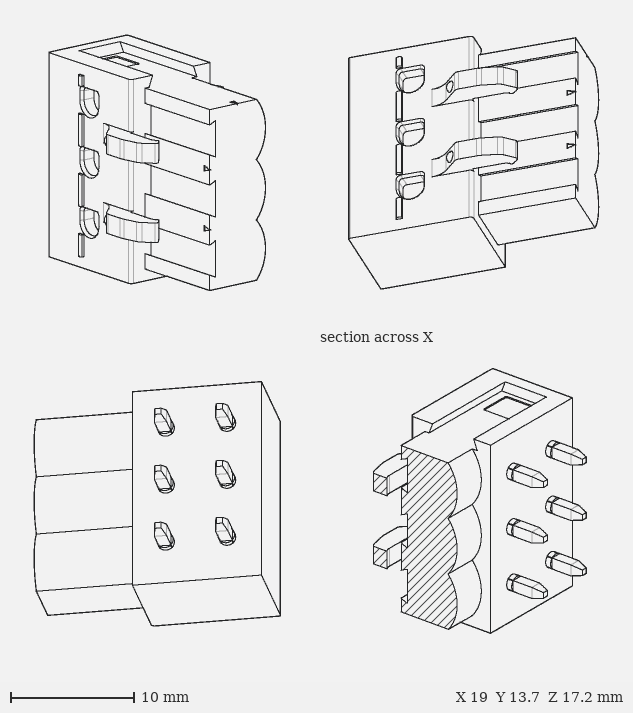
import cadquery as cq
import math

LENGTH = 19.0
POLES = 3
PITCH = 5.07
FIRST_POLE_Z = 3.57
POLE_Z = [FIRST_POLE_Z + PITCH * i for i in range(POLES)]

HOUSING_X = 10.68
HOUSING_Y = 8.3
HOUSING_Z = 17.23
LEFT_EDGE_RADIUS = 0.17
RIGHT_EDGE_RADIUS = 0.3

TONGUE_Z = 15.28
TONGUE_BOTTOM = 1.0
TONGUE_TOP = TONGUE_BOTTOM + TONGUE_Z
TONGUE_FRONT = 1.5
TONGUE_SHOULDER = 6.4
TONGUE_BACK = 7.35
GROOVE_DEPTH = 0.63
GROOVE_MOUTH = PITCH / 2
GROOVE_UNDERCUT = 0.27

POCKET_LEFT = 1.22
POCKET_FRONT = 2.28
POCKET_BACK = 6.55
POCKET_UNDERCUT = 0.36

RECESS_SIZE = 3.0
RECESS_X = 3.21
RECESS_Y = 4.28
RECESS_RADIUS = 0.15

MARK_LENGTH = 0.75
MARK_WIDTH = 0.45
MARK_Y = 4.43
SHALLOW_DEPTH = 0.11

WINDOW_X = 5.34
WINDOW_WIDTH = 2.45
WINDOW_RISE = 1.22
WINDOW_OFFSET_Z = 0.38
WINDOW_CORNER = 0.38
WINDOW_INSET = 0.15
WINDOW_TAPER_DEPTH = 0.32
WINDOW_DEPTH = 1.35

RIB_LEFT = 4.12
RIB_WIDTH = 0.53
RIB_RADIUS = 0.3
RIB_GAP = 2.4
RIB_GAP_OFFSET_Z = 0.5

FIRST_PIN_X = 2.81
PIN_X = (FIRST_PIN_X, FIRST_PIN_X + PITCH)
COLLAR_RADIUS = 0.68
COLLAR_HEIGHT = 0.51
PIN_SIDE = 1.0
PIN_STRAIGHT = 1.95
PIN_TIP_SIDE = 0.51
PIN_TIP_LENGTH = 1.0

LEVER_Z = (5.3, 11.99)
LEVER_WIDTH = 1.65
LEVER_HEIGHT = 1.92
LEVER_UNDERSIDE_Y = -0.11
LEVER_START_X = 7.18
LEVER_START_RADIUS = 2.01
LEVER_RAMP_ANGLE = 45
LEVER_KNEE_X = 10.09
LEVER_KNEE_RADIUS = 0.51
LEVER_TAPER_X = 11.65
LEVER_TAPER_RADIUS = 2.28
LEVER_TAPER_ANGLE = 11
LEVER_BEND_CENTER = (13.2, -0.78)
LEVER_BEND_RADIUS = 0.84
LEVER_TIP_ANGLE = 45
LEVER_NOSE_CENTER = (14.4, -0.45)
LEVER_NOSE_RADIUS = 0.25
LEVER_HOOK_CENTER = (14.0, -0.02)
LEVER_HOOK_RADIUS = 0.19
LEVER_HOOK_END_ANGLE = 155
LEVER_NECK_X = 13.3
LEVER_NECK_RADIUS = 0.91
LEVER_NECK_START_ANGLE = 300
LEVER_ROOT_RADIUS = 0.2

BUMP_RADIUS = 0.55
BUMP_HEIGHT = 0.28


def box(x0, x1, y0, y1, z0, z1):
    return cq.Workplane("XY").box(x1 - x0, y1 - y0, z1 - z0, centered=False).translate((x0, y0, z0))


def make_housing():
    block = box(0, HOUSING_X, 0, HOUSING_Y, 0, HOUSING_Z)
    block = block.edges("|Z and <X and <Y").fillet(LEFT_EDGE_RADIUS)
    return block.edges("|Z and >X and <Y").fillet(RIGHT_EDGE_RADIUS)


def make_pocket():
    profile = [
        (POCKET_FRONT, HOUSING_Z),
        (POCKET_BACK, HOUSING_Z),
        (POCKET_BACK + POCKET_UNDERCUT, TONGUE_TOP),
        (POCKET_FRONT - POCKET_UNDERCUT, TONGUE_TOP),
    ]
    length = HOUSING_X - POCKET_LEFT
    return cq.Workplane("YZ", origin=(POCKET_LEFT, 0, 0)).polyline(profile).close().extrude(length)


def make_recess():
    block = cq.Workplane("XY").box(RECESS_SIZE, RECESS_SIZE, 2 * SHALLOW_DEPTH)
    return block.edges("|Z").fillet(RECESS_RADIUS).translate((RECESS_X, RECESS_Y, TONGUE_TOP))


def make_tongue():
    outline = cq.Workplane("YZ", origin=(HOUSING_X, 0, 0))
    outline = outline.moveTo(TONGUE_SHOULDER, TONGUE_TOP)
    outline = outline.lineTo(TONGUE_FRONT, TONGUE_TOP)
    outline = outline.lineTo(TONGUE_FRONT, TONGUE_BOTTOM)
    outline = outline.lineTo(TONGUE_SHOULDER, TONGUE_BOTTOM)
    scallop = TONGUE_Z / POLES
    for i in range(POLES):
        start = TONGUE_BOTTOM + i * scallop
        outline = outline.threePointArc(
            (TONGUE_BACK, start + scallop / 2),
            (TONGUE_SHOULDER, start + scallop),
        )
    return outline.close().extrude(LENGTH - HOUSING_X)


def make_groove(z):
    floor = TONGUE_FRONT + GROOVE_DEPTH
    half_mouth = GROOVE_MOUTH / 2
    half_floor = half_mouth + GROOVE_UNDERCUT
    profile = [
        (TONGUE_FRONT, z - half_mouth),
        (floor, z - half_floor),
        (floor, z + half_floor),
        (TONGUE_FRONT, z + half_mouth),
    ]
    length = LENGTH - HOUSING_X
    return cq.Workplane("YZ", origin=(HOUSING_X, 0, 0)).polyline(profile).close().extrude(length)


def mark_outline(plane, origin):
    corners = [(0, 0), (-MARK_LENGTH, MARK_WIDTH / 2), (-MARK_LENGTH, -MARK_WIDTH / 2)]
    return cq.Workplane(plane, origin=origin).polyline(corners).close()


def make_top_mark():
    return mark_outline("XY", (LENGTH, MARK_Y, TONGUE_TOP)).extrude(-SHALLOW_DEPTH)


def make_front_mark(z):
    return mark_outline("XZ", (LENGTH, TONGUE_FRONT, z)).extrude(-SHALLOW_DEPTH)


def window_sketch(z, y, inset):
    radius = WINDOW_WIDTH / 2 - inset
    corner = WINDOW_CORNER - inset / 2
    rise = WINDOW_RISE - inset
    bevel = corner * (1 - math.sqrt(0.5))
    return (
        cq.Workplane("XZ", origin=(WINDOW_X, y, z))
        .moveTo(-radius, 0)
        .threePointArc((0, -radius), (radius, 0))
        .lineTo(radius, rise - corner)
        .threePointArc((radius - bevel, rise - bevel), (radius - corner, rise))
        .lineTo(corner - radius, rise)
        .threePointArc((bevel - radius, rise - bevel), (-radius, rise - corner))
        .close()
    )


def make_window(z):
    mouth = window_sketch(z, 0, 0)
    throat = window_sketch(z, WINDOW_TAPER_DEPTH, WINDOW_INSET)
    taper = cq.Workplane(obj=cq.Solid.makeLoft([mouth.wires().val(), throat.wires().val()], True))
    return taper.union(throat.extrude(-(WINDOW_DEPTH - WINDOW_TAPER_DEPTH)))


def make_rib():
    bar = cq.Workplane("XY", origin=(RIB_LEFT + RIB_RADIUS, 0, TONGUE_BOTTOM))
    bar = bar.circle(RIB_RADIUS).extrude(TONGUE_Z)
    right = RIB_LEFT + RIB_WIDTH
    rib = bar.intersect(box(RIB_LEFT, right, -RIB_RADIUS, RIB_RADIUS, TONGUE_BOTTOM, TONGUE_TOP))
    for z in POLE_Z:
        middle = z + RIB_GAP_OFFSET_Z
        gap_bottom = middle - RIB_GAP / 2
        gap_top = middle + RIB_GAP / 2
        rib = rib.cut(box(RIB_LEFT, right, -RIB_RADIUS, RIB_RADIUS, gap_bottom, gap_top))
    return rib


def make_pin(x, z):
    back = cq.Workplane("XZ", origin=(x, HOUSING_Y, z))
    collar = back.circle(COLLAR_RADIUS).extrude(-COLLAR_HEIGHT)
    straight_length = COLLAR_HEIGHT + PIN_STRAIGHT
    shaft = back.rect(PIN_SIDE, PIN_SIDE).extrude(-straight_length)
    tip = (
        back.workplane(offset=-straight_length)
        .rect(PIN_SIDE, PIN_SIDE)
        .workplane(offset=-PIN_TIP_LENGTH)
        .rect(PIN_TIP_SIDE, PIN_TIP_SIDE)
        .loft()
    )
    return collar.union(shaft).union(tip)


def point_on_circle(center, radius, angle):
    turn = math.radians(angle)
    return (center[0] + radius * math.cos(turn), center[1] + radius * math.sin(turn))


START_CENTER = (LEVER_START_X, -LEVER_START_RADIUS)
KNEE_CENTER = (LEVER_KNEE_X, LEVER_KNEE_RADIUS - LEVER_HEIGHT)
TAPER_CENTER = (LEVER_TAPER_X, LEVER_TAPER_RADIUS - LEVER_HEIGHT)
NECK_CENTER = (LEVER_NECK_X, LEVER_UNDERSIDE_Y + LEVER_NECK_RADIUS)
ROOT_CENTER = (HOUSING_X + LEVER_ROOT_RADIUS, LEVER_UNDERSIDE_Y + LEVER_ROOT_RADIUS)

LEVER_ARCS = [
    (START_CENTER, LEVER_START_RADIUS, 90, 90 - LEVER_RAMP_ANGLE),
    (KNEE_CENTER, LEVER_KNEE_RADIUS, 270 - LEVER_RAMP_ANGLE, 270),
    (TAPER_CENTER, LEVER_TAPER_RADIUS, 270, 270 + LEVER_TAPER_ANGLE),
    (LEVER_BEND_CENTER, LEVER_BEND_RADIUS, 270 + LEVER_TAPER_ANGLE, 270 + LEVER_TIP_ANGLE),
    (LEVER_NOSE_CENTER, LEVER_NOSE_RADIUS, LEVER_TIP_ANGLE - 90, LEVER_TIP_ANGLE),
    (LEVER_HOOK_CENTER, LEVER_HOOK_RADIUS, LEVER_TIP_ANGLE, LEVER_HOOK_END_ANGLE),
    (NECK_CENTER, LEVER_NECK_RADIUS, LEVER_NECK_START_ANGLE, 270),
    (ROOT_CENTER, LEVER_ROOT_RADIUS, 270, 180),
]


def make_lever(z):
    outline = cq.Workplane("XY", origin=(0, 0, z - LEVER_WIDTH / 2))
    outline = outline.moveTo(LEVER_START_X, RIGHT_EDGE_RADIUS)
    for center, radius, start, end in LEVER_ARCS:
        outline = outline.lineTo(*point_on_circle(center, radius, start))
        middle = point_on_circle(center, radius, (start + end) / 2)
        outline = outline.threePointArc(middle, point_on_circle(center, radius, end))
    outline = outline.lineTo(HOUSING_X, RIGHT_EDGE_RADIUS)
    return outline.close().extrude(LEVER_WIDTH)


def make_bump(z):
    ramp_start = point_on_circle(START_CENTER, LEVER_START_RADIUS, 90 - LEVER_RAMP_ANGLE)
    ramp_end = point_on_circle(KNEE_CENTER, LEVER_KNEE_RADIUS, 270 - LEVER_RAMP_ANGLE)
    ramp_middle = ((ramp_start[0] + ramp_end[0]) / 2, (ramp_start[1] + ramp_end[1]) / 2)
    x, y = point_on_circle(ramp_middle, BUMP_RADIUS - BUMP_HEIGHT, 90 - LEVER_RAMP_ANGLE)
    return cq.Workplane("XY").sphere(BUMP_RADIUS).translate((x, y, z))


result = make_housing().union(make_tongue()).cut(make_pocket()).cut(make_recess())
result = result.cut(make_top_mark()).union(make_rib())
for pole_z in POLE_Z:
    result = result.cut(make_groove(pole_z)).cut(make_window(pole_z + WINDOW_OFFSET_Z))
    for pin_x in PIN_X:
        result = result.union(make_pin(pin_x, pole_z))
for pole_z in POLE_Z[:-1]:
    result = result.cut(make_front_mark(pole_z + PITCH / 2))
for lever_z in LEVER_Z:
    result = result.union(make_lever(lever_z)).union(make_bump(lever_z))